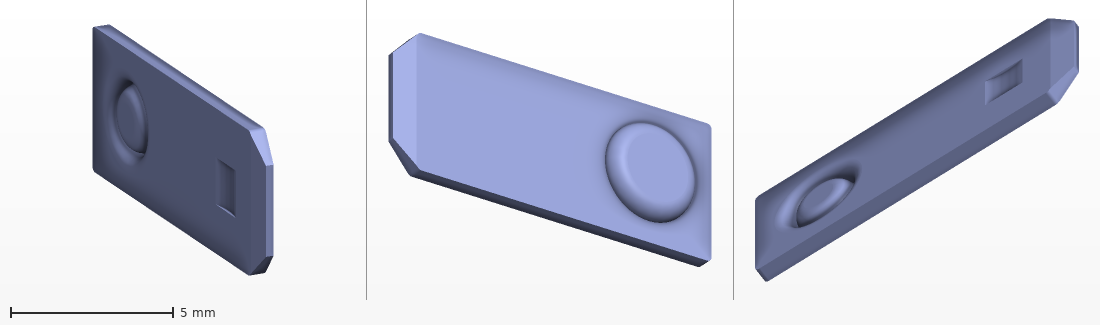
import cadquery as cq

length = 11.89
height = 4.75
total_depth = 1.02
boss_height = 0.5
thickness = total_depth - boss_height
corner_radius = 0.17

tip_height = 2.97
tip_chamfer_length = 0.9
bevel_length = 0.78
tip_thickness = 0.26

contact_x = height / 2
boss_radius = 1.64
groove_outer_radius = 1.65
groove_depth = thickness
groove_floor_outer_radius = groove_outer_radius - groove_depth
island_flat_radius = 0.56
island_base_radius = island_flat_radius + groove_depth

recess_left = 8.63
recess_width = 1.41
recess_height = 1.55
recess_depth = 0.11

half_height = height / 2
quarter_arc_factor = 0.5 ** 0.5


def make_plate():
    """Plate with rounded corners and a tip that narrows in height."""
    shoulder_x = length - tip_chamfer_length
    outline = [
        (0, -half_height),
        (shoulder_x, -half_height),
        (length, -tip_height / 2),
        (length, tip_height / 2),
        (shoulder_x, half_height),
        (0, half_height),
    ]
    plate = cq.Workplane("XZ").polyline(outline).close().extrude(-thickness)
    rounded_edges = plate.edges("|Y").edges("not >X")
    return rounded_edges.fillet(corner_radius)


def make_tip_bevels():
    """Wedges that thin the tip equally from the front and back faces."""
    bevel_x = length - bevel_length
    bevel_depth = (thickness - tip_thickness) / 2
    front_wedge = (
        cq.Workplane("XY")
        .polyline([(bevel_x, 0), (length, 0), (length, bevel_depth)])
        .close()
        .extrude(half_height, both=True)
    )
    back_wedge = front_wedge.mirror("XZ", (0, thickness / 2, 0))
    return front_wedge.union(back_wedge)


def revolve_about_contact(profile):
    """Turn a (radius, Y) profile about the contact axis."""
    return profile.close().revolve(360, (0, 0, 0), (0, 1, 0)).translate((contact_x, 0, 0))


def make_boss():
    """Round boss with a full quarter-round rim, sunk into the plate to join it."""
    flat_radius = boss_radius - boss_height
    arc_offset = boss_height * quarter_arc_factor
    profile = (
        cq.Workplane("XY")
        .moveTo(0, thickness / 2)
        .lineTo(boss_radius, thickness / 2)
        .lineTo(boss_radius, thickness)
        .threePointArc((flat_radius + arc_offset, thickness + arc_offset), (flat_radius, total_depth))
        .lineTo(0, total_depth)
    )
    return revolve_about_contact(profile)


def make_ring_groove():
    """Groove whose two walls both roll inward tangent to the front face."""
    arc_offset = groove_depth * quarter_arc_factor
    arc_y = groove_depth - arc_offset
    profile = (
        cq.Workplane("XY")
        .moveTo(island_flat_radius, 0)
        .threePointArc((island_flat_radius + arc_offset, arc_y), (island_base_radius, groove_depth))
        .lineTo(groove_floor_outer_radius, groove_depth)
        .threePointArc((groove_outer_radius - arc_offset, arc_y), (groove_outer_radius, 0))
    )
    return revolve_about_contact(profile)


def make_recess():
    """Cylinder segment dished into the front face, with its axis along Z."""
    profile = (
        cq.Workplane("XY")
        .moveTo(recess_left, 0)
        .threePointArc((recess_left + recess_width / 2, recess_depth), (recess_left + recess_width, 0))
        .close()
    )
    return profile.extrude(recess_height / 2, both=True)


result = (
    make_plate()
    .cut(make_tip_bevels())
    .union(make_boss())
    .cut(make_ring_groove())
    .cut(make_recess())
)